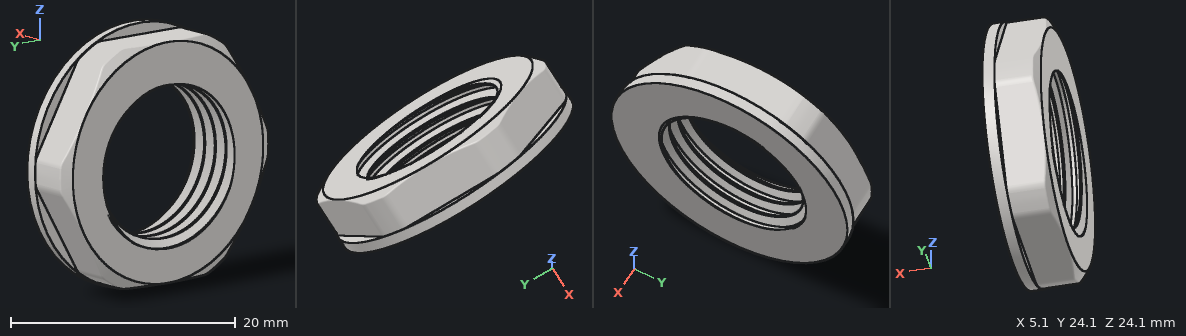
import cadquery as cq
import math

length = 5.1
flange_diameter = 24.12
flange_thickness = 1.1
across_flats = 22.0
corner_diameter = 24.02
corner_blend_radius = 1.55
chamfer_depth = 0.48
chamfer_face_inset = 0.02
chamfer_edge_radius = 0.2

thread_pitch = 1.5
thread_minor_radius = 7.05
thread_major_radius = 7.85
thread_root_width = 0.4
thread_flank_angle = 30.0
thread_start_angle = -106.0
thread_overlap = 0.02

hex_length = length - flange_thickness


def axial_cylinder(diameter, start, depth):
    return cq.Workplane("YZ", origin=(start, 0, 0)).circle(diameter / 2).extrude(depth)


def make_hex_body():
    """Hexagon with corners on the Y axis, rounded to a cylinder and chamfered in front."""
    hexagon = cq.Workplane("YZ").polygon(6, across_flats / math.cos(math.pi / 6)).extrude(hex_length)
    body = hexagon.intersect(axial_cylinder(corner_diameter, 0, hex_length))
    body = body.edges("|X").fillet(corner_blend_radius)

    face_radius = across_flats / 2 - chamfer_face_inset
    corner_radius = corner_diameter / 2
    chamfer_envelope = (
        cq.Workplane("XY")
        .moveTo(0, 0)
        .lineTo(0, face_radius)
        .lineTo(chamfer_depth, corner_radius)
        .lineTo(hex_length, corner_radius)
        .lineTo(hex_length, 0)
        .close()
        .revolve(360, (0, 0, 0), (1, 0, 0))
    )
    body = body.intersect(chamfer_envelope)
    margin = chamfer_face_inset / 5
    chamfer_edges = cq.selectors.BoxSelector(
        (margin, -flange_diameter, -flange_diameter),
        (chamfer_depth + margin, flange_diameter, flange_diameter),
    )
    return body.edges(chamfer_edges).fillet(chamfer_edge_radius)


def make_thread_cutter():
    """Right-handed trapezoidal groove that runs past both ends of the bore."""
    overrun = 2 * thread_pitch
    helix_length = length + 2 * overrun
    inner_radius = thread_minor_radius - thread_overlap
    half_root = thread_root_width / 2
    flank_run = (thread_major_radius - inner_radius) * math.tan(math.radians(thread_flank_angle))
    half_mouth = half_root + flank_run

    helix = cq.Wire.makeHelix(thread_pitch, helix_length, inner_radius)
    groove = (
        cq.Workplane("XZ")
        .moveTo(inner_radius, -half_mouth)
        .lineTo(thread_major_radius, -half_root)
        .lineTo(thread_major_radius, half_root)
        .lineTo(inner_radius, half_mouth)
        .close()
        .sweep(cq.Workplane(helix), isFrenet=True)
    )
    groove = groove.rotate((0, 0, 0), (1, 1, 1), 120)
    groove = groove.rotate((0, 0, 0), (1, 0, 0), thread_start_angle)
    return groove.translate((-overrun, 0, 0))


flange = axial_cylinder(flange_diameter, hex_length, flange_thickness)
bore = axial_cylinder(2 * thread_minor_radius, 0, length)
result = make_hex_body().union(flange).cut(make_thread_cutter()).cut(bore)